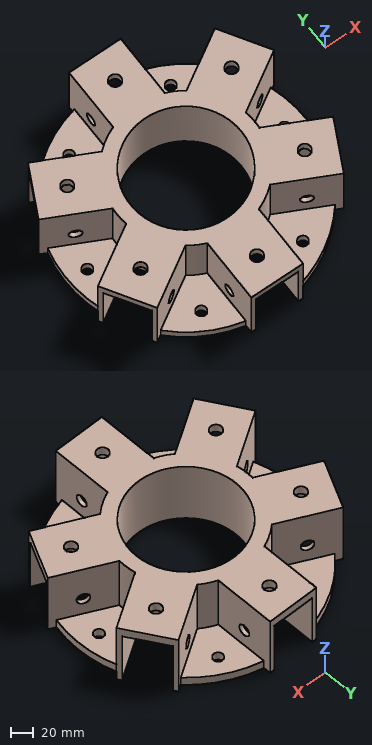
import cadquery as cq
import math

height = 70.0
arm_reach = 135.0
arm_width = 56.0
bore_radius = 60.0
hub_radius = 75.0
flange_radius = 130.1
flange_thickness = 10.0

channel_width = 46.0
arm_roof = 10.0
channel_start = hub_radius

roof_hole_diameter = 12.5
roof_hole_distance = 105.0
side_hole_diameter = 12.5
side_hole_distance = 102.3
side_hole_height = 30.0
flange_hole_diameter = 10.5
flange_hole_distance = 110.2

golden_ratio = (1 + math.sqrt(5)) / 2
rising_angle = math.degrees(math.atan(1 / golden_ratio))
falling_angle = -math.degrees(math.atan(1 / 2))
half_turn_angles = [falling_angle, rising_angle, 90.0]
arm_angles = half_turn_angles + [angle + 180 for angle in half_turn_angles]


def turned(solid, angle):
    """Turn a solid made along +X to point at the given angle about Z."""
    return solid.rotate((0, 0, 0), (0, 0, 1), angle)


def disc(radius, thickness):
    return cq.Workplane("XY").circle(radius).extrude(thickness)


def radial_box(start, end, width, tall):
    """Box along +X from start to end, standing on the base plane."""
    box = cq.Workplane("XY").box(end - start, width, tall, centered=(False, True, False))
    return box.translate((start, 0, 0))


def upright_hole(distance, diameter):
    return cq.Workplane("XY").center(distance, 0).circle(diameter / 2).extrude(height)


def side_hole():
    """Cross hole through both side walls of an arm."""
    return (
        cq.Workplane("XZ")
        .center(side_hole_distance, side_hole_height)
        .circle(side_hole_diameter / 2)
        .extrude(arm_width / 2, both=True)
    )


body = disc(hub_radius, height).union(disc(flange_radius, flange_thickness))
for angle in arm_angles:
    body = body.union(turned(radial_box(0, arm_reach, arm_width, height), angle))

body = body.cut(disc(bore_radius, height))

for angle in arm_angles:
    channel = radial_box(channel_start, arm_reach, channel_width, height - arm_roof)
    body = body.cut(turned(channel, angle))
    body = body.cut(turned(upright_hole(roof_hole_distance, roof_hole_diameter), angle))
    body = body.cut(turned(side_hole(), angle))

for angle, next_angle in zip(arm_angles, arm_angles[1:] + [arm_angles[0] + 360]):
    middle_angle = (angle + next_angle) / 2
    body = body.cut(turned(upright_hole(flange_hole_distance, flange_hole_diameter), middle_angle))

result = body